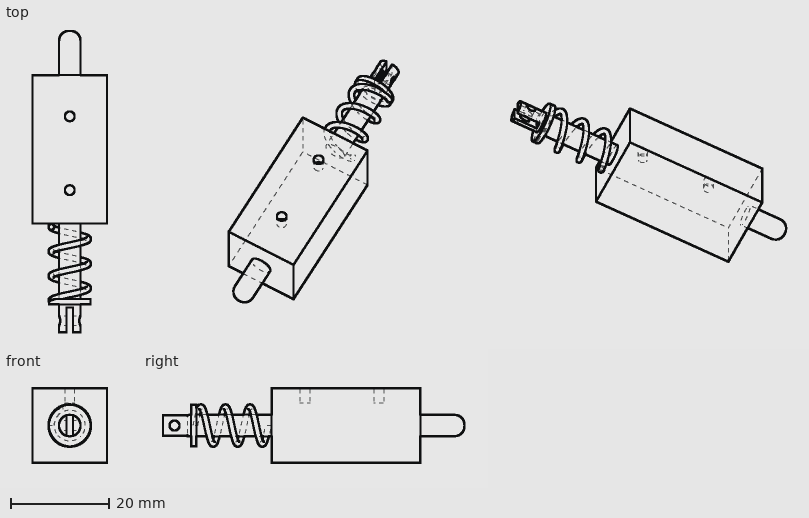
import cadquery as cq

body_width = 15.2
body_length = 30.2
body_front = -body_length / 2

rod_diameter = 4.39
rod_front_reach = 22.1
rod_rear_reach = 9.0
rod_tip_radius = 2.0
rod_front = body_front - rod_front_reach
rod_length = rod_front_reach + body_length + rod_rear_reach

slot_width = 1.3
slot_depth = 5.0
pin_hole_diameter = 2.0
pin_hole_inset = 2.35

washer_diameter = 8.47
washer_thickness = 1.1
washer_reach = 16.4

wire_diameter = 1.2
spring_mean_diameter = 7.47
spring_pitch = 5.0
spring_turns = 3
spring_gap = 0.05

mount_hole_count = 2
mount_hole_diameter = 2.0
mount_hole_depth = 3.0
mount_hole_spacing = 15.0
first_mount_hole_inset = 6.8


def cylinder_along_y(diameter, length, front):
    """Solid cylinder on the Y axis, running from y = front toward +Y."""
    axis_plane = cq.Plane(origin=(0, front, 0), xDir=(1, 0, 0), normal=(0, 1, 0))
    return cq.Workplane(axis_plane).circle(diameter / 2).extrude(length)


def make_body():
    """Square block with a row of blind mounting holes in its top face."""
    block = cq.Workplane("XY").box(body_width, body_length, body_width)
    for index in range(mount_hole_count):
        hole_y = body_front + first_mount_hole_inset + index * mount_hole_spacing
        hole = (
            cq.Workplane("XY", origin=(0, hole_y, body_width / 2))
            .circle(mount_hole_diameter / 2)
            .extrude(-mount_hole_depth)
        )
        block = block.cut(hole)
    return block


def make_rod():
    """Full-length rod with a rounded rear tip, slotted and cross drilled at the front."""
    rod = cylinder_along_y(rod_diameter, rod_length, rod_front)
    rod = rod.faces(">Y").edges().fillet(rod_tip_radius)
    return rod.cut(make_slot()).cut(make_pin_hole())


def make_washer():
    """Disc on the rod; the last turn of the spring sinks into its rear face."""
    return cylinder_along_y(washer_diameter, washer_thickness, body_front - washer_reach)


def make_spring():
    """Right-handed coil that starts at -X beside the body and winds toward -Y."""
    mean_radius = spring_mean_diameter / 2
    one_turn = cq.Wire.makeHelix(spring_pitch, spring_pitch, mean_radius)
    turns = [one_turn.translate(cq.Vector(0, 0, index * spring_pitch)) for index in range(spring_turns)]
    helix = cq.Wire.combine(turns)[0]
    coil = (
        cq.Workplane("XZ", origin=(mean_radius, 0, 0))
        .circle(wire_diameter / 2)
        .sweep(cq.Workplane(helix), isFrenet=True)
    )
    start_y = body_front - spring_gap - wire_diameter / 2
    return (
        coil.rotate((0, 0, 0), (0, 0, 1), 180)
        .rotate((0, 0, 0), (1, 0, 0), 90)
        .translate((0, start_y, 0))
    )


def make_slot():
    """Cutter for the vertical slot, open at the front end of the rod."""
    slot_centre = (0, rod_front + slot_depth / 2, 0)
    return cq.Workplane("XY", origin=slot_centre).box(slot_width, slot_depth, rod_diameter)


def make_pin_hole():
    """Cutter for the pin hole that crosses the slot along X."""
    return (
        cq.Workplane("YZ", origin=(0, rod_front + pin_hole_inset, 0))
        .circle(pin_hole_diameter / 2)
        .extrude(rod_diameter, both=True)
    )


result = make_body().union(make_rod()).union(make_washer()).union(make_spring())